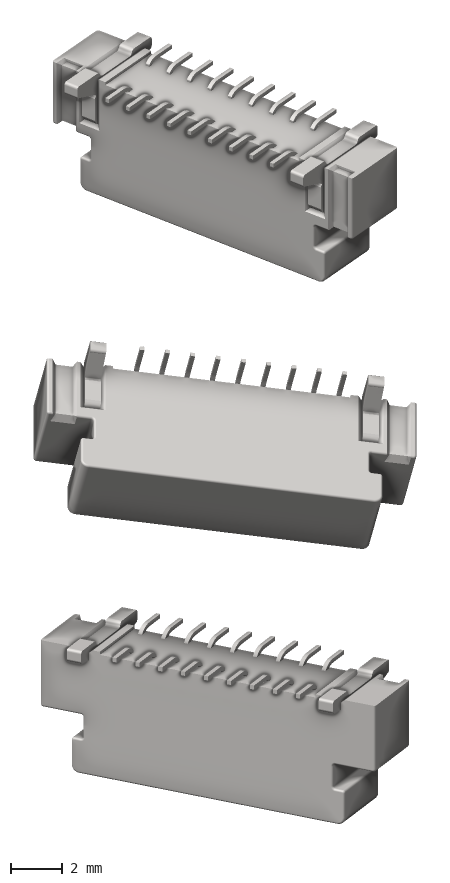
import cadquery as cq
import math

housing_length = 14.59
housing_depth = 2.95
wing_top = 5.3
wing_bottom = 2.5
notch_floor = 1.46
notch_half_width = 5.44
nose_half_width = 5.95
nose_corner_radius = 0.32
wing_corner_radius = 0.12
notch_radius = 0.1
rim_radius = 0.09

half_length = housing_length / 2
front = -housing_depth / 2
back = housing_depth / 2

recess_half_width = 4.7
recess_drop = 0.13
recess_floor = wing_top - recess_drop

pocket_center = 6.6
pocket_floor_width = 0.67
pocket_mouth_width = 0.96
pocket_front_depth = 0.18
pocket_reach = 0.48
pocket_bottom_height = 0.16

clip_center = 5.49
clip_width = 0.63
clip_top = 5.45
clip_back = 2.15
clip_front = -2.65
clip_tip_radius = 0.12
clip_middle = 5.22
hump_rise = clip_top - clip_middle
hump_run = 0.32
back_hump_edge = 1.02
front_hump_edge = -1.35
clip_back_underside = 4.85
clip_tip_underside = 4.92
clip_root_underside = 4.55
leg_bulge = 0.05
leg_neck = 4.46
leg_top = 4.38
leg_straight_bottom = 3.38
leg_rounding_top = 3.3
leg_bottom = 3.14
leg_back = -1.02
slot_flare = 0.18
slot_front_depth = 0.16
slot_top_depth = 0.13
slot_bottom = 2.98

pins_per_row = 9
pin_row_length = 8.0
pin_pitch = pin_row_length / (pins_per_row - 1)
pin_size = 0.18
front_pin_tip = -2.63
front_pin_bend = -1.69
front_pin_root = -1.07
front_pin_curve_end = recess_floor
back_pin_tip = 2.1
back_pin_bend = 1.08
back_pin_root = 0.64
back_pin_curve_end = 5.25
pin_burial = 0.15


def housing():
    """Stepped, symmetric outline with rounded corners and rounded front and back rims."""
    right_side = [
        (nose_half_width, 0),
        (nose_half_width, notch_floor),
        (notch_half_width, notch_floor),
        (notch_half_width, wing_bottom),
        (half_length, wing_bottom),
        (half_length, wing_top),
    ]
    left_side = [(-x, z) for x, z in reversed(right_side)]
    outline = cq.Workplane("XZ", origin=(0, back, 0)).polyline(right_side + left_side).close()
    body = outline.extrude(housing_depth)
    tolerance = 0.0001

    def is_at(edge, x, z):
        center = edge.Center()
        return abs(abs(center.x) - x) < tolerance and abs(center.z - z) < tolerance

    corners = [
        (nose_half_width, 0, nose_corner_radius),
        (nose_half_width, notch_floor, notch_radius),
        (notch_half_width, notch_floor, notch_radius),
        (notch_half_width, wing_bottom, notch_radius),
        (half_length, wing_bottom, wing_corner_radius),
    ]
    for x, z, radius in corners:
        body = body.edges("|Y").filter(lambda edge: is_at(edge, x, z)).fillet(radius)

    rims = body.faces("<Y or >Y").edges().filter(lambda edge: edge.Center().z < wing_top - rim_radius)
    return rims.fillet(rim_radius)


def top_recess():
    return cq.Workplane("XY").box(
        2 * recess_half_width, housing_depth, recess_drop, centered=(True, True, False)
    ).translate((0, 0, recess_floor))


def trapezoid(plane, origin, center, floor_width, mouth_width, floor, mouth, length):
    """Prism whose width flares from floor to mouth, extruded along the plane normal."""
    points = [
        (center - floor_width / 2, floor),
        (center + floor_width / 2, floor),
        (center + mouth_width / 2, mouth),
        (center - mouth_width / 2, mouth),
    ]
    return cq.Workplane(plane, origin=origin).polyline(points).close().extrude(length)


def wing_pocket():
    widths = (pocket_center, pocket_floor_width, pocket_mouth_width)
    pocket_back = front + pocket_reach
    wing_height = wing_top - wing_bottom
    front_part = trapezoid(
        "XY", (0, 0, wing_bottom), *widths, front + pocket_front_depth, front, wing_height
    )
    top_part = trapezoid("XZ", (0, pocket_back, 0), *widths, recess_floor, wing_top, pocket_reach)
    slope_top = wing_bottom + pocket_bottom_height
    bottom_part = trapezoid("XZ", (0, pocket_back, 0), *widths, slope_top, wing_bottom, pocket_reach)
    slope = (
        cq.Workplane("YZ", origin=(pocket_center - pocket_mouth_width, 0, 0))
        .polyline([
            (front, wing_bottom),
            (pocket_back, wing_bottom),
            (front + pocket_front_depth, slope_top),
            (front, slope_top),
        ])
        .close()
        .extrude(2 * pocket_mouth_width)
    )
    return front_part.union(top_part).union(bottom_part.intersect(slope))


def clip_slot():
    """Flared clearance along the top and down the front of the housing, around the clip."""
    mouth_width = clip_width + 2 * slot_flare
    slot_floor = wing_top - slot_top_depth
    top_part = trapezoid(
        "XZ", (0, back, 0), clip_center, clip_width, mouth_width, slot_floor, wing_top, housing_depth
    )
    slot_height = 2 * (wing_top - slot_bottom)
    flare_angle = math.degrees(math.atan(slot_flare / slot_front_depth))
    front_part = (
        cq.Workplane("XZ", origin=(clip_center, front, slot_bottom + slot_height / 2))
        .rect(mouth_width, slot_height)
        .extrude(-slot_front_depth, taper=flare_angle)
    )
    return top_part.union(front_part)


def clip():
    """Bent clip: a foot at each side, a lowered middle and a leg down the front slot."""
    leg_front = front - leg_bulge
    profile = (
        cq.Workplane("YZ", origin=(clip_center - clip_width / 2, 0, 0))
        .moveTo(clip_back - clip_tip_radius, clip_top)
        .lineTo(back_hump_edge, clip_top)
        .tangentArcPoint((back_hump_edge - hump_run / 2, clip_top - hump_rise / 2), relative=False)
        .tangentArcPoint((back_hump_edge - hump_run, clip_middle), relative=False)
        .lineTo(front_hump_edge + hump_run, clip_middle)
        .tangentArcPoint((front_hump_edge + hump_run / 2, clip_top - hump_rise / 2), relative=False)
        .tangentArcPoint((front_hump_edge, clip_top), relative=False)
        .lineTo(clip_front + clip_tip_radius, clip_top)
        .tangentArcPoint((clip_front, clip_top - clip_tip_radius), relative=False)
        .lineTo(clip_front, clip_tip_underside + clip_tip_radius)
        .tangentArcPoint((clip_front + clip_tip_radius, clip_tip_underside), relative=False)
        .lineTo(front, clip_root_underside)
        .tangentArcPoint((front, leg_neck), relative=False)
        .lineTo(leg_front, leg_top)
        .lineTo(leg_front, leg_straight_bottom)
        .lineTo(front, leg_rounding_top)
        .tangentArcPoint((front + slot_front_depth, leg_bottom), relative=False)
        .lineTo(leg_back, leg_bottom)
        .lineTo(leg_back, clip_back_underside)
        .lineTo(back, clip_back_underside)
        .lineTo(clip_back - clip_tip_radius, clip_tip_underside)
        .tangentArcPoint((clip_back, clip_tip_underside + clip_tip_radius), relative=False)
        .lineTo(clip_back, clip_top - clip_tip_radius)
        .tangentArcPoint((clip_back - clip_tip_radius, clip_top), relative=False)
        .close()
    )
    return profile.extrude(clip_width)


def pin(x, tip, bend, root, curve_end):
    """Flat lead that curves down from the bend, then drops straight into the housing at the root."""
    outward = math.copysign(1, tip)
    run = abs(bend - root)
    rise = clip_top - curve_end
    outer_radius = (run**2 + rise**2) / (2 * rise)
    inner_radius = outer_radius - pin_size
    sweep = math.asin(run / outer_radius)
    buried_end = recess_floor - pin_burial

    def on_curve(radius, angle):
        y = bend - outward * radius * math.sin(angle)
        z = clip_top - outer_radius + radius * math.cos(angle)
        return y, z

    return (
        cq.Workplane("YZ", origin=(x - pin_size / 2, 0, 0))
        .moveTo(tip, clip_top)
        .lineTo(bend, clip_top)
        .threePointArc(on_curve(outer_radius, sweep / 2), on_curve(outer_radius, sweep))
        .lineTo(root, buried_end)
        .lineTo(on_curve(inner_radius, sweep)[0], buried_end)
        .lineTo(*on_curve(inner_radius, sweep))
        .threePointArc(on_curve(inner_radius, sweep / 2), on_curve(inner_radius, 0))
        .lineTo(tip, clip_top - pin_size)
        .close()
        .extrude(pin_size)
    )


def on_both_ends(feature):
    return feature.union(feature.mirror("YZ"))


result = (
    housing()
    .cut(top_recess())
    .cut(on_both_ends(wing_pocket()))
    .cut(on_both_ends(clip_slot()))
    .union(on_both_ends(clip()))
)
for index in range(pins_per_row):
    row_x = index * pin_pitch - pin_row_length / 2
    front_x = row_x + pin_pitch / 4
    back_x = row_x - pin_pitch / 4
    result = result.union(pin(front_x, front_pin_tip, front_pin_bend, front_pin_root, front_pin_curve_end))
    result = result.union(pin(back_x, back_pin_tip, back_pin_bend, back_pin_root, back_pin_curve_end))